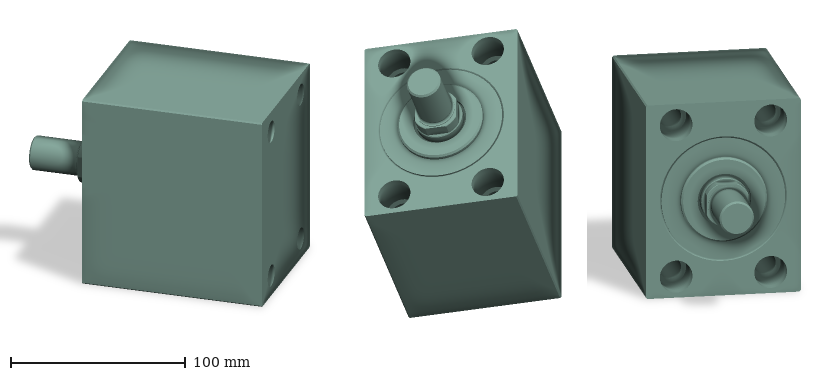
import cadquery as cq
import math

BLOCK_LENGTH = 108.0
BLOCK_WIDTH = 90.0
BLOCK_HEIGHT = 115.0
BLOCK_EDGE_CHAMFER = 0.8

BOLT_SPACING_Y = 55.0
BOLT_SPACING_Z = 90.0
BOLT_HOLE_DIAMETER = 13.0
BOLT_HEAD_DIAMETER = 19.0
BOLT_HEAD_DEPTH = 20.0

GUIDE_DIAMETER = 72.0
GUIDE_DEPTH = 25.0
GUIDE_BORE_CHAMFER = 1.0
SPIGOT_DIAMETER = 50.0
SPIGOT_HEIGHT = 3.0
SPIGOT_CHAMFER = 1.0

WIPER_DIAMETER = 31.0
WIPER_RECESS = 2.0
WIPER_WIDTH = 5.0
WIPER_START_X = WIPER_RECESS - SPIGOT_HEIGHT
WIPER_END_X = WIPER_START_X + WIPER_WIDTH

ROD_DIAMETER = 28.0
SHOULDER_X = -6.5
SHOULDER_CHAMFER = 0.5
WRENCH_DIAMETER = ROD_DIAMETER - 2 * SHOULDER_CHAMFER
WRENCH_SIZE = 24.0
WRENCH_START_X = -13.5
WRENCH_CHAMFER = 0.3
STEP_DIAMETER = 22.5
STEP_LENGTH = 0.5
NECK_DIAMETER = 18.5
THREAD_DIAMETER = 20.0
THREAD_LENGTH = 28.0
THREAD_END_CHAMFER = 0.5
TIP_CHAMFER = 1.0
TIP_X = -43.5


def cylinder(diameter, start_x, end_x):
    """Solid cylinder on the rod axis between two X positions."""
    return (
        cq.Workplane("YZ")
        .workplane(offset=start_x)
        .circle(diameter / 2)
        .extrude(end_x - start_x)
    )


def make_housing():
    """Block with counterbored bolt holes and a chamfered blind bore for the guide."""
    block = (
        cq.Workplane("YZ")
        .rect(BLOCK_WIDTH, BLOCK_HEIGHT)
        .extrude(BLOCK_LENGTH)
        .edges("|X")
        .chamfer(BLOCK_EDGE_CHAMFER)
    )
    block = (
        block.faces("<X")
        .workplane(origin=(0, 0, 0))
        .rect(BOLT_SPACING_Y, BOLT_SPACING_Z, forConstruction=True)
        .vertices()
        .cboreHole(BOLT_HOLE_DIAMETER, BOLT_HEAD_DIAMETER, BOLT_HEAD_DEPTH)
    )
    block = block.cut(cylinder(GUIDE_DIAMETER, 0, GUIDE_DEPTH))
    guide_mouth = cq.selectors.RadiusNthSelector(-1)
    return block.faces("<X").edges(guide_mouth).chamfer(GUIDE_BORE_CHAMFER)


def make_guide():
    """Plug with a raised spigot, bored for the rod and the wiper ring."""
    spigot = cylinder(SPIGOT_DIAMETER, -SPIGOT_HEIGHT, 0).faces("<X").chamfer(SPIGOT_CHAMFER)
    guide = cylinder(GUIDE_DIAMETER, 0, GUIDE_DEPTH).union(spigot)
    guide = guide.cut(cylinder(WIPER_DIAMETER, -SPIGOT_HEIGHT, WIPER_END_X))
    return guide.cut(cylinder(ROD_DIAMETER, WIPER_END_X, GUIDE_DEPTH))


def make_wiper():
    """Ring filling the bottom of the wiper pocket around the rod."""
    ring = cylinder(WIPER_DIAMETER, WIPER_START_X, WIPER_END_X)
    return ring.cut(cylinder(ROD_DIAMETER, WIPER_START_X, WIPER_END_X))


def make_rod():
    """Turned rod with a threaded-size end, a neck, a step and four wrench flats."""
    neck_radius = NECK_DIAMETER / 2
    thread_radius = THREAD_DIAMETER / 2
    step_radius = STEP_DIAMETER / 2
    wrench_radius = WRENCH_DIAMETER / 2
    rod_radius = ROD_DIAMETER / 2
    thread_end_x = TIP_X + THREAD_LENGTH
    step_start_x = WRENCH_START_X - STEP_LENGTH
    half_profile = [
        (TIP_X, 0),
        (TIP_X, thread_radius - TIP_CHAMFER),
        (TIP_X + TIP_CHAMFER, thread_radius),
        (thread_end_x, thread_radius),
        (thread_end_x + THREAD_END_CHAMFER, thread_radius - THREAD_END_CHAMFER),
        (thread_end_x + THREAD_END_CHAMFER, neck_radius),
        (step_start_x, neck_radius),
        (step_start_x, step_radius),
        (WRENCH_START_X, step_radius),
        (WRENCH_START_X, wrench_radius - WRENCH_CHAMFER),
        (WRENCH_START_X + WRENCH_CHAMFER, wrench_radius),
        (SHOULDER_X, wrench_radius),
        (SHOULDER_X + SHOULDER_CHAMFER, rod_radius),
        (GUIDE_DEPTH, rod_radius),
        (GUIDE_DEPTH, 0),
    ]
    turned = cq.Workplane("XY").polyline(half_profile).close().revolve(360, (0, 0), (1, 0))
    wrench_length = SHOULDER_X - WRENCH_START_X
    around_square = (
        cq.Workplane("YZ")
        .workplane(offset=WRENCH_START_X)
        .circle(ROD_DIAMETER)
        .rect(WRENCH_SIZE, WRENCH_SIZE)
        .extrude(wrench_length)
    )
    return turned.cut(around_square)


housing = make_housing()
guide = make_guide()
wiper = make_wiper()
rod = make_rod()

result = cq.Compound.makeCompound([housing.val(), guide.val(), wiper.val(), rod.val()])